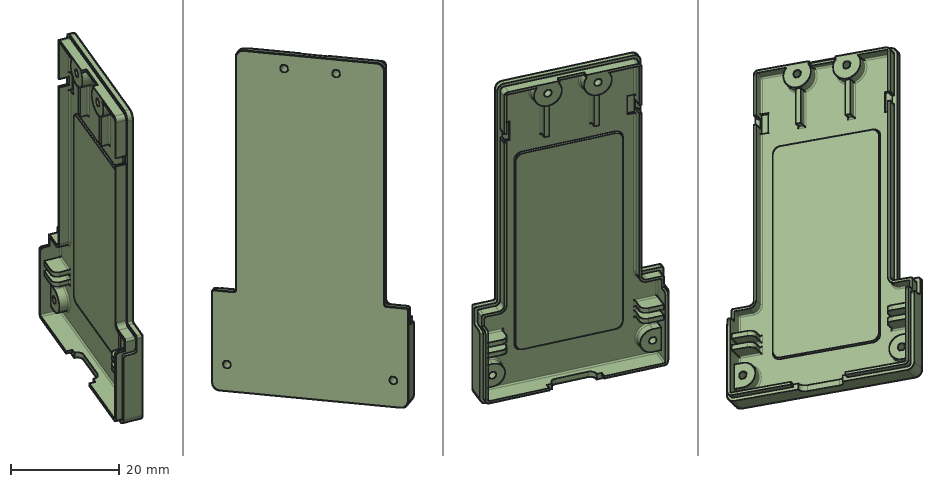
import cadquery as cq
import math

LENGTH = 67.3
STEM_WIDTH = 28.6
BASE_WIDTH = 37.7
BASE_HEIGHT = 19.7
BOTTOM_CORNER = 1.5
TOP_CORNER = 1.5
SHOULDER_CORNER = 0.4

FLOOR = 1.1
STEM_WALL = 1.1
BASE_WALL = 1.2
STEM_LIP_INSET = 0.6
BASE_LIP_INSET = 0.7
FLOOR_FILLET = 0.3
BACK_CHAMFER = 0.15

STEM_LEDGE = 1.2
BASE_LEDGE = 3.9
LEDGE_STEP_Z = 16.0
STEM_LIP = 3.2
BASE_LIP = 5.1
LIP_STEP_Z = 16.55
STEP_RADIUS = 0.6

HOLE_DIAMETER = 1.5
STEM_BOSS_X = 5.0
STEM_BOSS_Z = 64.5
STEM_BOSS_RADIUS = 2.75
BASE_BOSS_X = 15.95
BASE_BOSS_Z = 5.3
BASE_BOSS_RADIUS = 2.5
BASE_BOSS_DEPTH = 3.1

RIB_THICKNESS = 1.0
STEM_RIB_DEPTH = 2.7
STEM_RIB_END_Z = 54.65
BASE_RIB_DEPTH = 4.4
BASE_RIB_END_X = 13.25
BASE_RIB_Z = (10.7, 13.0)
BASE_RIB_CORNER = 1.3

PAD_WIDTH = 21.7
PAD_BOTTOM_Z = 8.2
PAD_TOP_Z = 51.5
PAD_RISE = 0.35
PAD_DRAFT = 0.2
PAD_CORNER = 1.6

WINDOW_Z = 56.6
WINDOW_LENGTH = 1.9
WINDOW_DEPTH = STEM_LEDGE
POCKET_LENGTH = 4.05
POCKET_INNER_X = 11.7
POCKET_SINK = 0.5

TOP_NOTCH_WIDTH = 5.3
TOP_NOTCH_DEPTH = 2.2
PORT_LIP_WIDTH = 10.9
PORT_WIDTH = 8.9
PORT_DEPTH = 2.55
PORT_CORNER = 1.2


def block(x0, x1, z0, z1, near, far):
    """Box between two X, two Z and two depths."""
    return cq.Workplane("XY").box(x1 - x0, far - near, z1 - z0, centered=False).translate((x0, -far, z0))


def disc(x, z, radius, near, far):
    """Cylinder along Y between two depths."""
    return cq.Workplane("XZ", origin=(x, -near, z)).circle(radius).extrude(far - near)


def mirrored(body):
    """The body together with its mirror image across X = 0."""
    return body.union(body.mirror("YZ"))


def t_prism(base_inset, stem_inset, near, far, bottom_r=0.0, shoulder_r=0.0, inner_r=0.0, top_r=0.0):
    """Solid of the T-shaped outline with its base and stem sides moved inwards and its corners rounded."""
    half_base = BASE_WIDTH / 2 - base_inset
    half_stem = STEM_WIDTH / 2 - stem_inset
    base_top = BASE_HEIGHT - base_inset
    top = LENGTH - base_inset
    right = [(half_base, base_inset), (half_base, base_top), (half_stem, base_top), (half_stem, top)]
    left = [(-x, z) for x, z in reversed(right)]
    body = cq.Workplane("XZ", origin=(0, -near, 0)).polyline(right + left).close().extrude(far - near)
    for (x, z), radius in zip(right, (bottom_r, shoulder_r, inner_r, top_r)):
        if radius > 0:
            for side in (x, -x):
                corner = cq.selectors.NearestToPointSelector((side, -(near + far) / 2, z))
                body = body.edges("|Y").edges(corner).fillet(radius)
    return body


def stepped_side(base_depth, stem_depth, step_z, concave):
    """Side profile that is deep over the base and shallow over the stem, swept across the full width."""
    r = STEP_RADIUS
    profile = (
        cq.Workplane("YZ", origin=(-BASE_WIDTH / 2, 0, 0))
        .lineTo(-base_depth, 0)
        .lineTo(-base_depth, step_z - r)
        .radiusArc((-base_depth + r, step_z), r)
    )
    if concave:
        profile = profile.lineTo(-stem_depth - r, step_z).radiusArc((-stem_depth, step_z + r), -r)
    else:
        profile = profile.lineTo(-stem_depth, step_z)
    return profile.lineTo(-stem_depth, LENGTH).lineTo(0, LENGTH).close().extrude(BASE_WIDTH)


def make_shell():
    skin = t_prism(0, 0, 0, BASE_LEDGE, BOTTOM_CORNER, SHOULDER_CORNER, SHOULDER_CORNER, TOP_CORNER)
    skin = skin.faces(">Y").edges().chamfer(BACK_CHAMFER)
    skin = skin.intersect(stepped_side(BASE_LEDGE, STEM_LEDGE, LEDGE_STEP_Z, True))
    lip = t_prism(
        BASE_LIP_INSET, STEM_LIP_INSET, FLOOR / 2, BASE_LIP,
        BOTTOM_CORNER - BASE_LIP_INSET, SHOULDER_CORNER,
        SHOULDER_CORNER + STEM_LIP_INSET, TOP_CORNER - STEM_LIP_INSET,
    )
    lip = lip.intersect(stepped_side(BASE_LIP, STEM_LIP, LIP_STEP_Z, False))
    cavity = t_prism(
        BASE_WALL, STEM_WALL, FLOOR, BASE_LIP,
        FLOOR_FILLET, FLOOR_FILLET, SHOULDER_CORNER + STEM_WALL, FLOOR_FILLET,
    )
    return skin.union(lip).cut(cavity)


def stem_boss_and_rib():
    boss = disc(STEM_BOSS_X, STEM_BOSS_Z, STEM_BOSS_RADIUS, FLOOR / 2, STEM_LIP)
    half = RIB_THICKNESS / 2
    rib = block(STEM_BOSS_X - half, STEM_BOSS_X + half, STEM_RIB_END_Z, STEM_BOSS_Z, FLOOR / 2, STEM_RIB_DEPTH)
    envelope = t_prism(BASE_LIP_INSET, STEM_LIP_INSET, 0, STEM_LIP)
    return boss.union(rib).intersect(envelope)


def base_boss():
    wall_x = BASE_WIDTH / 2 - BASE_WALL
    r = BASE_BOSS_RADIUS
    web = block(BASE_BOSS_X, wall_x, BASE_BOSS_Z - r, BASE_BOSS_Z + r, FLOOR / 2, BASE_BOSS_DEPTH)
    boss = disc(BASE_BOSS_X, BASE_BOSS_Z, r, FLOOR / 2, BASE_BOSS_DEPTH)
    return boss.intersect(t_prism(BASE_WALL, STEM_WALL, 0, BASE_LIP)).union(web)


def base_rib(z):
    half = RIB_THICKNESS / 2
    rib = block(BASE_RIB_END_X, BASE_WIDTH / 2 - BASE_WALL, z - half, z + half, FLOOR / 2, BASE_RIB_DEPTH)
    return rib.faces("<Y").edges("<X").fillet(BASE_RIB_CORNER)


def pad():
    height = PAD_TOP_Z - PAD_BOTTOM_Z
    outline = cq.Sketch().rect(PAD_WIDTH, height).vertices().fillet(PAD_CORNER)
    base = cq.Workplane("XZ", origin=(0, -FLOOR, PAD_BOTTOM_Z + height / 2)).placeSketch(outline)
    return base.extrude(PAD_RISE, taper=math.degrees(math.atan2(PAD_DRAFT, PAD_RISE)))


def window_and_pocket():
    outer_x = STEM_WIDTH / 2
    inner_x = outer_x - STEM_WALL
    half = WINDOW_LENGTH / 2
    window = block(inner_x - FLOOR_FILLET, outer_x, WINDOW_Z - half, WINDOW_Z + half, WINDOW_DEPTH, STEM_LIP)
    half = POCKET_LENGTH / 2
    pocket = block(POCKET_INNER_X, inner_x, WINDOW_Z - half, WINDOW_Z + half, FLOOR - POCKET_SINK, STEM_LIP)
    return window.union(pocket)


def top_notch():
    half = TOP_NOTCH_WIDTH / 2
    return block(-half, half, LENGTH - BASE_WALL, LENGTH, TOP_NOTCH_DEPTH, STEM_LIP)


def port():
    half = PORT_LIP_WIDTH / 2
    lip_gap = block(-half, half, 0, BASE_WALL, BASE_LEDGE, BASE_LIP)
    half = PORT_WIDTH / 2
    opening = block(-half, half, 0, BASE_WALL, PORT_DEPTH, BASE_LIP)
    return lip_gap.union(opening.faces(">Y").edges("|Z").fillet(PORT_CORNER))


result = make_shell()
result = result.union(mirrored(stem_boss_and_rib())).union(mirrored(base_boss()))
for rib_z in BASE_RIB_Z:
    result = result.union(mirrored(base_rib(rib_z)))

SLICE = 0.01
floor_slice = cq.selectors.BoxSelector((-BASE_WIDTH, -FLOOR - SLICE, 0), (BASE_WIDTH, -FLOOR + SLICE, LENGTH))
result = result.edges(floor_slice).fillet(FLOOR_FILLET)

result = result.union(pad())
result = result.cut(mirrored(window_and_pocket())).cut(top_notch()).cut(port())
for hole_x, hole_z in ((STEM_BOSS_X, STEM_BOSS_Z), (BASE_BOSS_X, BASE_BOSS_Z)):
    result = result.cut(mirrored(disc(hole_x, hole_z, HOLE_DIAMETER / 2, 0, BASE_LIP)))